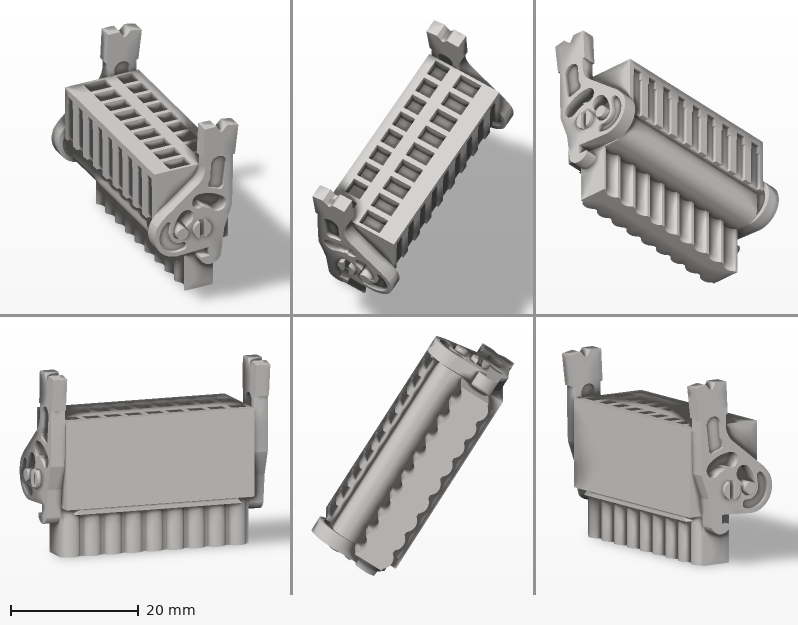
import cadquery as cq
import math

overall_length = 37.9
half_housing = 15.75
positions = 9
pitch = 3.5
position_xs = [(i - (positions - 1) / 2) * pitch for i in range(positions)]

housing_back = 6.0
housing_front = -6.9
lower_front = -5.6
housing_bottom = 7.95
housing_top = 22.1
step_z = 12.92
lower_front_radius = 1.85

well_depth = 2.2
back_well_width = 2.7
back_well_y = (1.82, 4.5)
front_well_width = 2.6
front_well_y = (-3.95, -0.15)
pocket_depth = 0.6
pocket_width = 2.1
pocket_neck_width = 1.75
pocket_shoulder_z = 19.5
pocket_top_z = 20.9

plug_back = 3.37
plug_front = -1.5
scallop_width = 2.88
scallop_depth = 0.72
bar_back = 5.4
bar_bottom = 6.97
bar_top = 7.77

pivot_z = 12.15
stud_radius = 1.5
stud_slot_width = 1.02
stud_slot_depth = 0.9
stop_pin_y = -3.5
stop_pin_radius = 1.0

lever_inner_x = 15.88
lever_outer_x = 18.23
lever_thickness = lever_outer_x - lever_inner_x
lever_pocket_depth = 0.72
snap_slot_radius = abs(stop_pin_y)
snap_slot_half_width = 1.33
snap_slot_angles = (137, 180)
window_radius = 4.75
window_half_width = 1.3
window_angles = (47.5, 92.5)
window_ridge_angle = 83
window_ridge_width = 0.55
window_ridge_height = 0.23
foot_center = (-3.98, 12.1)
foot_radius = 4.05
lever_top = 29.52


def block(x_range, y_range, z_range):
    """Box between two corners, given as ranges along X, Y and Z."""
    size = [high - low for low, high in (x_range, y_range, z_range)]
    corner = (x_range[0], y_range[0], z_range[0])
    return cq.Workplane("XY").box(*size, centered=False).translate(corner)


def around_pivot(radius, degrees):
    """Point (Y, Z) at a radius and angle about the pivot, measured from +Y towards +Z."""
    angle = math.radians(degrees)
    return (radius * math.cos(angle), pivot_z + radius * math.sin(angle))


def housing_shell():
    upper = block((-half_housing, half_housing), (housing_front, housing_back), (step_z, housing_top))
    lower = block((-half_housing, half_housing), (lower_front, housing_back), (housing_bottom, step_z))
    lower = lower.edges("<Y and <Z").fillet(lower_front_radius)
    return upper.union(lower)


def well(x, width, y_range):
    return block((x - width / 2, x + width / 2), y_range, (housing_top - well_depth, housing_top))


def front_pocket(x):
    """Keyhole pocket, open at the bottom where the housing steps back."""
    y_range = (housing_front, housing_front + pocket_depth)
    body = block((x - pocket_width / 2, x + pocket_width / 2), y_range, (step_z, pocket_shoulder_z))
    neck = block(
        (x - pocket_neck_width / 2, x + pocket_neck_width / 2), y_range, (pocket_shoulder_z, pocket_top_z)
    )
    return body.union(neck)


def plug():
    """Plug whose front grooves and back ribs share one arc at each position."""
    outline = cq.Workplane("XY").moveTo(-half_housing, plug_front)
    for x in position_xs:
        outline = outline.lineTo(x - scallop_width / 2, plug_front)
        outline = outline.threePointArc((x, plug_front + scallop_depth), (x + scallop_width / 2, plug_front))
    outline = outline.lineTo(half_housing, plug_front).lineTo(half_housing, plug_back)
    for x in reversed(position_xs):
        outline = outline.lineTo(x + scallop_width / 2, plug_back)
        outline = outline.threePointArc((x, plug_back + scallop_depth), (x - scallop_width / 2, plug_back))
    return outline.lineTo(-half_housing, plug_back).close().extrude(housing_bottom)


def locking_bar():
    """Bar along the back of the plug, with ends that slope at 45 degrees and face upwards."""
    half_bottom = position_xs[-1]
    half_top = half_bottom - (bar_top - bar_bottom)
    outline = [(-half_bottom, bar_bottom), (half_bottom, bar_bottom), (half_top, bar_top), (-half_top, bar_top)]
    bar = cq.Workplane("XZ").polyline(outline).close().extrude(plug_back - bar_back)
    return bar.translate((0, plug_back, 0))


def cross_rod(y, radius):
    """Round rod along X whose two ends stick out past the levers."""
    rod = cq.Workplane("YZ").center(y, pivot_z).circle(radius).extrude(overall_length)
    return rod.translate((-overall_length / 2, 0, 0))


def stud_slot(side):
    """Screwdriver-style slot across the end of the pivot stud."""
    slot = cq.Workplane("XY").box(2 * stud_slot_depth, stud_slot_width, 2 * stud_radius)
    return slot.translate((side * overall_length / 2, 0, pivot_z))


def make_housing():
    body = housing_shell().union(plug()).union(locking_bar())
    for x in position_xs:
        body = body.cut(well(x, back_well_width, back_well_y))
        body = body.cut(well(x, front_well_width, front_well_y))
        body = body.cut(front_pocket(x))
    body = body.union(cross_rod(0, stud_radius)).union(cross_rod(stop_pin_y, stop_pin_radius))
    for side in (-1, 1):
        body = body.cut(stud_slot(side))
    return body


def lever_plate():
    foot_y, foot_z = foot_center
    foot_start = (-7.58, 13.9)
    return (
        cq.Workplane("YZ")
        .moveTo(6.0, 23.9)
        .lineTo(6.6, 29.0)
        .lineTo(4.65, 29.37)
        .lineTo(3.8, 28.45)
        .lineTo(3.4, 28.45)
        .lineTo(2.8, lever_top)
        .lineTo(0.72, lever_top)
        .lineTo(0.45, 24.35)
        .lineTo(0.85, 24.35)
        .lineTo(0.85, 22.35)
        .threePointArc((0.45, 21.07), (-0.5, 19.9))
        .lineTo(-5.2, 16.22)
        .threePointArc((-6.5, 15.15), foot_start)
        .threePointArc((foot_y - foot_radius, foot_z), (foot_y, foot_z - foot_radius))
        .lineTo(1.6, 8.35)
        .lineTo(1.6, 6.75)
        .lineTo(0.08, 6.75)
        .lineTo(0.08, 6.18)
        .threePointArc((1.95, 5.25), (3.52, 6.4))
        .lineTo(4.1, 11.05)
        .lineTo(5.45, 14.95)
        .lineTo(5.6, 20.12)
        .lineTo(5.6, 23.9)
        .close()
        .extrude(lever_thickness)
    )


def arc_slot(radius, half_width, angles):
    """Round-ended slot that follows an arc about the pivot."""
    start, end = angles
    middle = (start + end) / 2
    inner, outer = radius - half_width, radius + half_width
    cap_start = start - math.degrees(half_width / radius)
    cap_end = end + math.degrees(half_width / radius)
    return (
        cq.Workplane("YZ")
        .moveTo(*around_pivot(inner, start))
        .threePointArc(around_pivot(inner, middle), around_pivot(inner, end))
        .threePointArc(around_pivot(radius, cap_end), around_pivot(outer, end))
        .threePointArc(around_pivot(outer, middle), around_pivot(outer, start))
        .threePointArc(around_pivot(radius, cap_start), around_pivot(inner, start))
        .close()
        .extrude(lever_thickness)
    )


def snap_slot():
    """Travel slot for the stop pin, narrowed by a snap ridge on its inner edge."""
    ridge_outline = [(-1.55, 13.65), (-2.43, 12.95), (-2.45, 12.65), (-2.25, 12.47), (-1.35, 12.62)]
    ridge = cq.Workplane("YZ").polyline(ridge_outline).close().extrude(lever_thickness)
    return arc_slot(snap_slot_radius, snap_slot_half_width, snap_slot_angles).cut(ridge)


def curved_window():
    """Through window about the pivot, with a small ridge on its inner edge."""
    ridge_top = window_radius - window_half_width + window_ridge_height
    ridge = block(
        (0, lever_thickness),
        (-window_ridge_width / 2, window_ridge_width / 2),
        (pivot_z, pivot_z + ridge_top),
    )
    ridge = ridge.rotate((0, 0, pivot_z), (1, 0, pivot_z), window_ridge_angle - 90)
    return arc_slot(window_radius, window_half_width, window_angles).cut(ridge)


def handle_pocket():
    return (
        cq.Workplane("YZ")
        .moveTo(4.5, 22.85)
        .threePointArc((3.2, 24.18), (1.82, 23.1))
        .lineTo(1.65, 20.58)
        .lineTo(1.33, 19.65)
        .lineTo(1.33, 19.1)
        .lineTo(1.5, 18.87)
        .lineTo(3.25, 18.25)
        .threePointArc((3.8, 18.42), (4.0, 18.85))
        .close()
        .extrude(lever_pocket_depth)
    )


def crescent_pocket():
    return (
        cq.Workplane("YZ")
        .moveTo(-3.15, 10.3)
        .threePointArc((-4.8, 10.85), (-5.4, 12.15))
        .lineTo(-5.1, 13.85)
        .threePointArc((-5.45, 14.4), (-6.03, 14.33))
        .threePointArc((-6.75, 10.25), (-3.22, 8.85))
        .threePointArc((-2.43, 9.63), (-3.15, 10.3))
        .close()
        .extrude(lever_pocket_depth)
    )


def make_lever():
    lever = lever_plate()
    lever = lever.cut(curved_window()).cut(snap_slot())
    lever = lever.cut(cross_rod(0, stud_radius))
    for face_x in (0, lever_thickness - lever_pocket_depth):
        lever = lever.cut(handle_pocket().translate((face_x, 0, 0)))
        lever = lever.cut(crescent_pocket().translate((face_x, 0, 0)))
    return lever


housing = make_housing()
levers = [make_lever().translate((x, 0, 0)) for x in (-lever_outer_x, lever_inner_x)]

result = cq.Compound.makeCompound([housing.val(), *[lever.val() for lever in levers]])